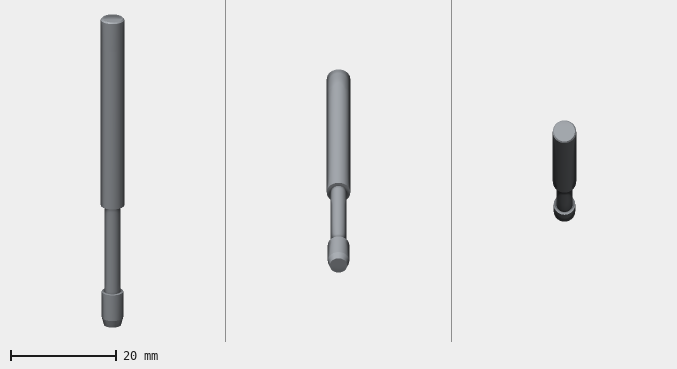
import cadquery as cq

TOTAL_LENGTH = 63.0

HOUSING_DIAMETER = 4.5
HOUSING_LENGTH = 38.4
END_SECTION_LENGTH = 6.0
TOP_CHAMFER = 0.25

ROD_DIAMETER = 3.0
TIP_DIAMETER = 4.1
TIP_LENGTH = 6.8
TAPER_LENGTH = 1.5
TIP_END_DIAMETER = 3.3

HOUSING_BOTTOM = TOTAL_LENGTH - HOUSING_LENGTH


def make_housing():
    """Chamfered cylinder whose side carries a seam below the end section."""
    radius = HOUSING_DIAMETER / 2
    return (
        cq.Workplane("XZ")
        .moveTo(0, HOUSING_BOTTOM)
        .lineTo(radius, HOUSING_BOTTOM)
        .lineTo(radius, TOTAL_LENGTH - END_SECTION_LENGTH)
        .lineTo(radius, TOTAL_LENGTH - TOP_CHAMFER)
        .lineTo(radius - TOP_CHAMFER, TOTAL_LENGTH)
        .lineTo(0, TOTAL_LENGTH)
        .close()
        .revolve(360, (0, 0, 0), (0, 1, 0), clean=False)
    )


def make_rod():
    """Stepped rod that meets the underside of the housing."""
    return (
        cq.Workplane("XZ")
        .lineTo(TIP_END_DIAMETER / 2, 0)
        .lineTo(TIP_DIAMETER / 2, TAPER_LENGTH)
        .lineTo(TIP_DIAMETER / 2, TIP_LENGTH)
        .lineTo(ROD_DIAMETER / 2, TIP_LENGTH)
        .lineTo(ROD_DIAMETER / 2, HOUSING_BOTTOM)
        .lineTo(0, HOUSING_BOTTOM)
        .close()
        .revolve(360, (0, 0, 0), (0, 1, 0))
    )


housing = make_housing()
rod = make_rod()

result = cq.Compound.makeCompound([housing.val(), rod.val()])